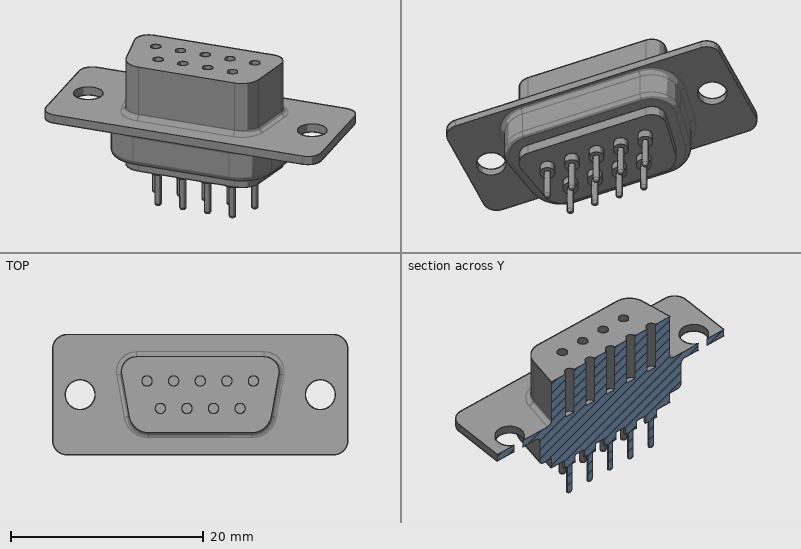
import cadquery as cq
import math


flange_length = 30.73
flange_width = 12.55
flange_thickness = 0.95
flange_corner_radius = 1.5
mount_hole_diameter = 3.07
mount_hole_spacing = 24.98

shell_width = 16.38
shell_depth = 7.9
upper_corner_radius = 1.55
lower_corner_radius = 2.05
side_angle = math.radians(10)

shell_height = 5.93
backshell_height = 3.78
insert_exposed_height = 1.3
backshell_offset = 1.55
bend_radius = 0.52

contact_pitch = 2.77
row_spacing = 2.85
contact_rows = ((5, row_spacing / 2), (4, -row_spacing / 2))
socket_diameter = 1.08
socket_depth = shell_height
collar_diameter = 1.55
collar_height = 1.0
pin_diameter = 0.68
pin_length = 3.78
pin_tip_radius = 0.3

backshell_bottom = -flange_thickness - backshell_height
insert_bottom = backshell_bottom - insert_exposed_height
collar_bottom = insert_bottom - collar_height


def corner_centres():
    """Centres of the right-hand corner arcs, both tangent to one slanted side."""
    upper_x = shell_width / 2 - upper_corner_radius
    upper_y = shell_depth / 2 - upper_corner_radius
    lower_y = lower_corner_radius - shell_depth / 2
    lower_x = (
        upper_x
        - (upper_y - lower_y) * math.tan(side_angle)
        + (upper_corner_radius - lower_corner_radius) / math.cos(side_angle)
    )
    return (upper_x, upper_y), (lower_x, lower_y)


def d_prism(bottom, top, offset=0.0):
    """Prism of the D outline, grown outward by offset."""
    upper_centre, lower_centre = corner_centres()
    upper_radius = upper_corner_radius + offset
    lower_radius = lower_corner_radius + offset

    def upper_point(angle):
        return (
            upper_centre[0] + upper_radius * math.cos(angle),
            upper_centre[1] + upper_radius * math.sin(angle),
        )

    def lower_point(angle):
        return (
            lower_centre[0] + lower_radius * math.cos(angle),
            lower_centre[1] + lower_radius * math.sin(angle),
        )

    def mirrored(point):
        return (-point[0], point[1])

    upper_edge = upper_point(math.pi / 2)
    upper_middle = upper_point((math.pi / 2 - side_angle) / 2)
    upper_side = upper_point(-side_angle)
    lower_side = lower_point(-side_angle)
    lower_middle = lower_point(-(math.pi / 2 + side_angle) / 2)
    lower_edge = lower_point(-math.pi / 2)

    return (
        cq.Workplane("XY", origin=(0, 0, bottom))
        .moveTo(*upper_edge)
        .threePointArc(upper_middle, upper_side)
        .lineTo(*lower_side)
        .threePointArc(lower_middle, lower_edge)
        .lineTo(*mirrored(lower_edge))
        .threePointArc(mirrored(lower_middle), mirrored(lower_side))
        .lineTo(*mirrored(upper_side))
        .threePointArc(mirrored(upper_middle), mirrored(upper_edge))
        .close()
        .extrude(top - bottom)
    )


def contact_points():
    """Contact positions, each row centred on X = 0."""
    return [
        ((index - (count - 1) / 2) * contact_pitch, row_y)
        for count, row_y in contact_rows
        for index in range(count)
    ]


def cylinders(diameter, bottom, height):
    """One cylinder at every contact position."""
    return (
        cq.Workplane("XY", origin=(0, 0, bottom))
        .pushPoints(contact_points())
        .circle(diameter / 2)
        .extrude(height)
    )


flange = (
    cq.Workplane("XY", origin=(0, 0, -flange_thickness))
    .rect(flange_length, flange_width)
    .extrude(flange_thickness)
    .edges("|Z")
    .fillet(flange_corner_radius)
)

shell = d_prism(0, shell_height)
backshell = d_prism(backshell_bottom, -flange_thickness, backshell_offset)
backshell = backshell.faces("<Z").edges().fillet(bend_radius)
housing = flange.union(shell).union(backshell)

flange_faces = housing.faces("|Z").vals()
bend_edges = [
    edge
    for face in flange_faces
    if face.BoundingBox().xlen > flange_length - flange_corner_radius
    for loop in face.innerWires()
    for edge in loop.Edges()
]
housing = housing.newObject(bend_edges).fillet(bend_radius)

mount_holes = (
    cq.Workplane("XY", origin=(0, 0, -flange_thickness))
    .rarray(mount_hole_spacing, 0.3, 2, 1)
    .circle(mount_hole_diameter / 2)
    .extrude(flange_thickness)
)

insert = d_prism(insert_bottom, backshell_bottom)

sockets = cylinders(socket_diameter, shell_height - socket_depth, socket_depth)
collars = cylinders(collar_diameter, collar_bottom, collar_height)
pins = cylinders(pin_diameter, collar_bottom - pin_length, pin_length)
pins = pins.faces("<Z").edges().fillet(pin_tip_radius)

result = (
    housing.union(insert)
    .union(collars)
    .union(pins)
    .cut(mount_holes)
    .cut(sockets)
)